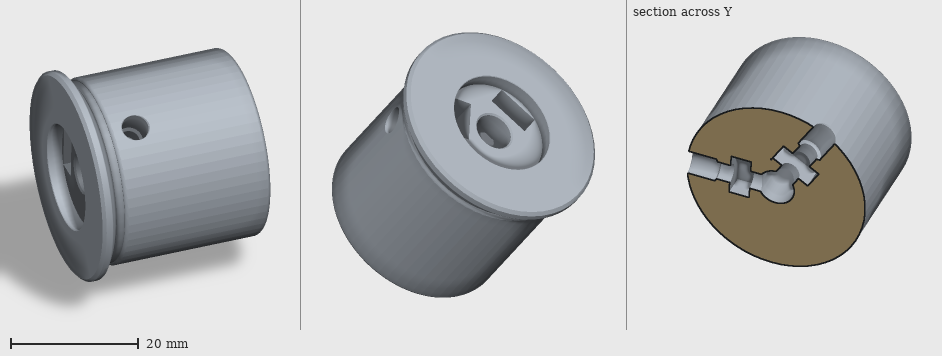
import cadquery as cq
import math

length = 28.8
flange_radius = 16.85
front_y = -length / 2

flange_chamfer = 0.5
flange_cone_start = 1.6
flange_cone_end = 3.03
flange_edge_fillet = 0.35
groove_radius = 14.6
groove_end = 4.35

flat_count = 60
flat_pitch = 360 / flat_count
grip_corner_radius = 15.05
grip_clearance = 0.007
grip_blank_radius = grip_corner_radius + grip_clearance
grip_end_fillet = 0.8
grip_front_trim = 0.15

recess_radius = 8.53
recess_depth = 2.5
recess_chamfer = 0.1
bore_radius = 3.03
bore_chamfer = 0.27
bore_depth = 20.22
drill_point_half_angle = 59

screw_angles = (57, 177)
screw_distance = 8.55
screw_clearance_radius = 2.12
screw_mouth_radius = 2.33
screw_step_radius = 10.25
screw_pilot_radius = 1.65
nut_width = 7.0
nut_thickness = 3.3
nut_inner_distance = 4.4
nut_slot_end = screw_distance + nut_width / 2


def cone_length(radius_change):
    """Axial length of a drill-point cone for a given change in radius."""
    return radius_change / math.tan(math.radians(drill_point_half_angle))


def turned(outline):
    """Solid of revolution about Y from (radius, distance from front face) points."""
    points = [(radius, front_y + distance) for radius, distance in outline]
    return cq.Workplane("XY").polyline(points).close().revolve(360, (0, 0, 0), (0, 1, 0))


def along_axis(start, end):
    """Workplane at distance `end` facing -Y, and the extrusion length that reaches `start`."""
    return cq.Workplane("XZ", origin=(0, front_y + end, 0)), end - start


def make_flange():
    flange = turned([
        (0, 0),
        (flange_radius - flange_chamfer, 0),
        (flange_radius, flange_chamfer),
        (flange_radius, flange_cone_start),
        (groove_radius, flange_cone_end),
        (groove_radius, groove_end),
        (0, groove_end),
    ])
    rim_centre = (0, front_y + flange_cone_start, 0)
    return flange.edges(cq.NearestToPointSelector(rim_centre)).fillet(flange_edge_fillet)


def make_grip():
    blank_plane, blank_length = along_axis(groove_end - grip_front_trim, length)
    blank = blank_plane.circle(grip_blank_radius).extrude(blank_length)
    blank = blank.faces("<Y or >Y").edges().fillet(grip_end_fillet)
    plane, grip_length = along_axis(groove_end, length)
    flats = plane.polygon(flat_count, 2 * grip_corner_radius).extrude(grip_length)
    flats = flats.rotate((0, 0, 0), (0, 1, 0), flat_pitch / 2)
    return blank.intersect(flats)


def make_recess_and_bore():
    return turned([
        (0, 0),
        (recess_radius + recess_chamfer, 0),
        (recess_radius, recess_chamfer),
        (recess_radius, recess_depth),
        (bore_radius + bore_chamfer, recess_depth),
        (bore_radius, recess_depth + bore_chamfer),
        (bore_radius, bore_depth),
        (0, bore_depth + cone_length(bore_radius)),
    ])


def make_screw_cut(angle):
    """Stepped screw hole along +X with its nut slot, turned to the given angle."""
    step_end = screw_step_radius - cone_length(screw_clearance_radius - screw_pilot_radius)
    mouth_depth = screw_mouth_radius - screw_clearance_radius
    hole = (
        cq.Workplane("XY")
        .polyline([
            (0, 0),
            (0, screw_pilot_radius),
            (step_end, screw_pilot_radius),
            (screw_step_radius, screw_clearance_radius),
            (grip_corner_radius - mouth_depth, screw_clearance_radius),
            (grip_corner_radius, screw_mouth_radius),
            (flange_radius, screw_mouth_radius),
            (flange_radius, 0),
        ])
        .close()
        .revolve(360, (0, 0, 0), (1, 0, 0))
        .translate((0, front_y + screw_distance, 0))
    )
    plane, slot_depth = along_axis(recess_depth, nut_slot_end)
    slot = (
        plane.center(nut_inner_distance + nut_thickness / 2, 0)
        .rect(nut_thickness, nut_width)
        .extrude(slot_depth)
    )
    return hole.union(slot).rotate((0, 0, 0), (0, 1, 0), -angle)


result = make_flange().union(make_grip()).cut(make_recess_and_bore())
for screw_angle in screw_angles:
    result = result.cut(make_screw_cut(screw_angle))